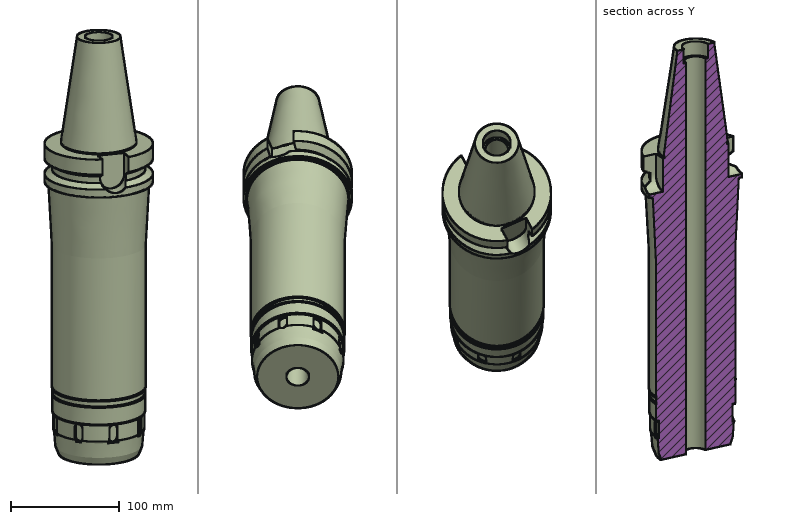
import cadquery as cq

relief_height = 1.2
groove_flank_height = 4.0
nut_groove_height = 1.2
nut_step_height = 1.2

total_length = 402.0
taper_length = 102.0
flange_top = taper_length + relief_height
groove_top = 117.7
groove_bottom = 132.0
flange_bottom = 140.0
sleeve_bottom = 201.0
body_bottom = 338.0
collar_top = body_bottom + nut_groove_height
collar_bottom = 344.0
nut_top = collar_bottom + nut_groove_height
nut_bottom = 361.2
nut_step = nut_bottom + nut_step_height
band_top = 378.0
band_bottom = 380.0
nose_top = 394.5

taper_small_radius = 20.0
taper_large_radius = 35.0
flange_diameter = 100.0
flange_radius = flange_diameter / 2
root_bevel = 1.2
groove_radius = 43.0
sleeve_top_radius = 46.5
body_radius = 43.5
nut_radius = 43.0
nut_groove_radius = 42.5
nut_lower_radius = 42.0
band_radius = 41.5
nose_radius = 40.0
end_radius = 37.5
taper_relief_depth = 1.2

bore_radius = 10.5
counterbore_radius = 13.0
counterbore_depth = 14.0

slot_width = 25.5
slot_floor_offset = 35.5
slot_depth = 33.0

pocket_count = 8
pocket_width = 8.0
pocket_length = 17.0
pocket_depth = 2.5
pocket_top = nut_step


def z(depth):
    """Height above the lower end of a station measured down from the top."""
    return total_length - depth


def revolved_body():
    """Taper shank, grooved flange, sleeve, body and nut as one turned profile."""
    profile = (
        cq.Workplane("XZ")
        .moveTo(0, z(0))
        .lineTo(taper_small_radius, z(0))
        .lineTo(taper_large_radius, z(taper_length))
        .lineTo(taper_large_radius - taper_relief_depth, z(taper_length))
        .lineTo(taper_large_radius - taper_relief_depth, z(flange_top))
        .lineTo(flange_radius, z(flange_top))
        .lineTo(flange_radius, z(groove_top))
        .lineTo(groove_radius, z(groove_top + groove_flank_height))
        .lineTo(groove_radius, z(groove_bottom - groove_flank_height))
        .lineTo(flange_radius, z(groove_bottom))
        .lineTo(flange_radius, z(flange_bottom))
        .lineTo(sleeve_top_radius + root_bevel, z(flange_bottom))
        .lineTo(sleeve_top_radius, z(flange_bottom + root_bevel))
        .lineTo(body_radius, z(sleeve_bottom))
        .lineTo(body_radius, z(body_bottom))
        .lineTo(nut_groove_radius, z(body_bottom))
        .lineTo(nut_groove_radius, z(collar_top))
        .lineTo(nut_radius, z(collar_top))
        .lineTo(nut_radius, z(collar_bottom))
        .lineTo(nut_groove_radius, z(collar_bottom))
        .lineTo(nut_groove_radius, z(nut_top))
        .lineTo(nut_radius, z(nut_top))
        .lineTo(nut_radius, z(nut_bottom))
        .lineTo(nut_lower_radius, z(nut_step))
        .lineTo(nut_lower_radius, z(band_top))
        .lineTo(band_radius, z(band_bottom))
        .lineTo(nose_radius, z(nose_top))
        .lineTo(end_radius, z(total_length))
        .lineTo(0, z(total_length))
        .close()
    )
    return profile.revolve(360, (0, 0, 0), (0, 1, 0))


def bore():
    """Axial through hole, wider at the top."""
    through = cq.Workplane("XY").circle(bore_radius).extrude(total_length)
    counterbore = (
        cq.Workplane("XY")
        .workplane(offset=z(counterbore_depth))
        .circle(counterbore_radius)
        .extrude(counterbore_depth)
    )
    return through.union(counterbore)


def drive_slot():
    """Round-ended radial slot, open at the flange top, on the +X side."""
    half = slot_width / 2
    end_z = z(flange_top + slot_depth)
    return (
        cq.Workplane("YZ")
        .workplane(offset=slot_floor_offset)
        .moveTo(-half, z(flange_top))
        .lineTo(-half, end_z + half)
        .threePointArc((0, end_z), (half, end_z + half))
        .lineTo(half, z(flange_top))
        .close()
        .extrude(flange_radius)
    )


def spanner_pocket():
    """Flat-floored, round-ended pocket in the lower part of the nut, on the +X side."""
    return (
        cq.Workplane("YZ")
        .workplane(offset=nut_lower_radius - pocket_depth)
        .center(0, z(pocket_top + pocket_length / 2))
        .slot2D(pocket_length, pocket_width, 90)
        .extrude(2 * pocket_depth)
    )


def turned(tool, angle):
    """The tool rotated about the part's axis by an angle in degrees."""
    return tool.rotate((0, 0, 0), (0, 0, 1), angle)


result = revolved_body().cut(bore())
for angle in (0, 180):
    result = result.cut(turned(drive_slot(), angle))
for index in range(pocket_count):
    result = result.cut(turned(spanner_pocket(), index * 360 / pocket_count))